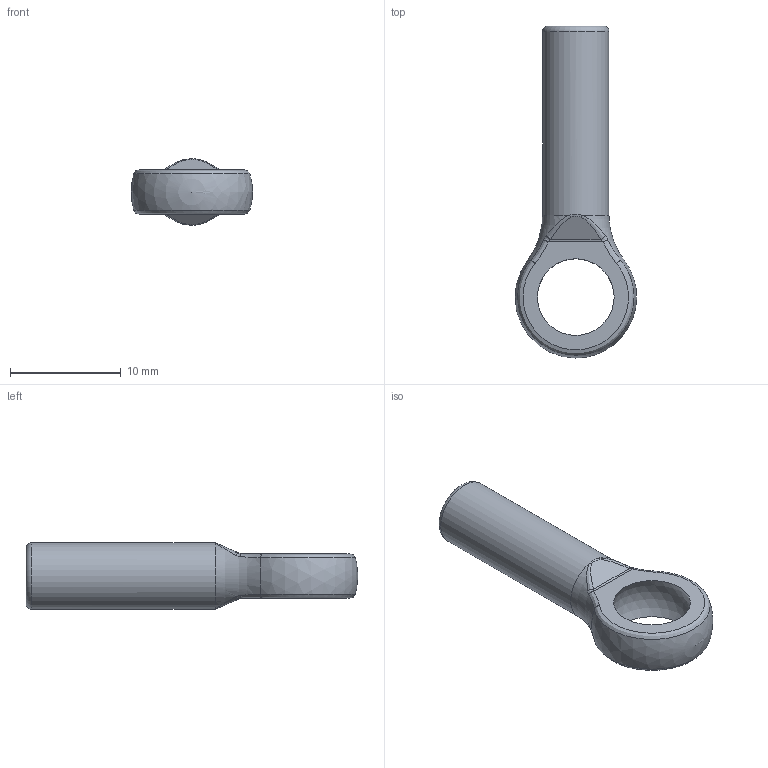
import cadquery as cq
import math

overall_length = 30.0
eye_radius = 5.5
eye_thickness = 4.0
seat_radius = 4.0
shank_radius = 3.0
neck_radius = 6.7
ramp_run = 2.3
edge_round = 0.5
shank_end_round = 0.5

half_thickness = eye_thickness / 2
shank_end_y = overall_length - eye_radius

neck_center_x = shank_radius + neck_radius
neck_center_distance = eye_radius + neck_radius
neck_start_y = math.sqrt(neck_center_distance**2 - neck_center_x**2)
eye_to_neck_ratio = eye_radius / neck_center_distance
neck_foot = (neck_center_x * eye_to_neck_ratio, neck_start_y * eye_to_neck_ratio)
neck_foot_angle = math.atan2(neck_start_y, neck_center_x)
neck_mid_angle = neck_foot_angle / 2
neck_mid = (
    neck_center_x - neck_radius * math.cos(neck_mid_angle),
    neck_start_y - neck_radius * math.sin(neck_mid_angle),
)

ramp_foot_y = neck_start_y - ramp_run


def make_blank():
    """Shank, neck and ball-shaped eye as one solid turned about Y."""
    blank = (
        cq.Workplane("XY")
        .moveTo(0, -eye_radius)
        .threePointArc((eye_radius, 0), neck_foot)
        .threePointArc(neck_mid, (shank_radius, neck_start_y))
        .lineTo(shank_radius, shank_end_y)
        .lineTo(0, shank_end_y)
        .close()
        .revolve(360, (0, 0, 0), (0, 1, 0))
    )
    return blank.faces(">Y").edges().fillet(shank_end_round)


def cut_flat(body, side):
    """Cut one flat and its slope up to the shank; side is +1 (top) or -1 (bottom)."""
    outer_y = -2 * eye_radius
    outer_z = side * 2 * eye_radius
    cutter = (
        cq.Workplane("YZ")
        .moveTo(outer_y, side * half_thickness)
        .lineTo(ramp_foot_y, side * half_thickness)
        .lineTo(neck_start_y, side * shank_radius)
        .lineTo(neck_start_y, outer_z)
        .lineTo(outer_y, outer_z)
        .close()
        .extrude(2 * eye_radius, both=True)
    )
    return body.cut(cutter)


def round_flat_edges(body):
    """Round every edge of the flats and slopes; the shank's end face stays as it is."""
    return body.faces("%PLANE").faces("not >Y").edges().fillet(edge_round)


def cut_seat(body):
    """Cut the spherical seat through the eye."""
    return body.cut(cq.Workplane("XY").sphere(seat_radius))


body = make_blank()
for side in (1, -1):
    body = cut_flat(body, side)
body = round_flat_edges(body)
result = cut_seat(body)